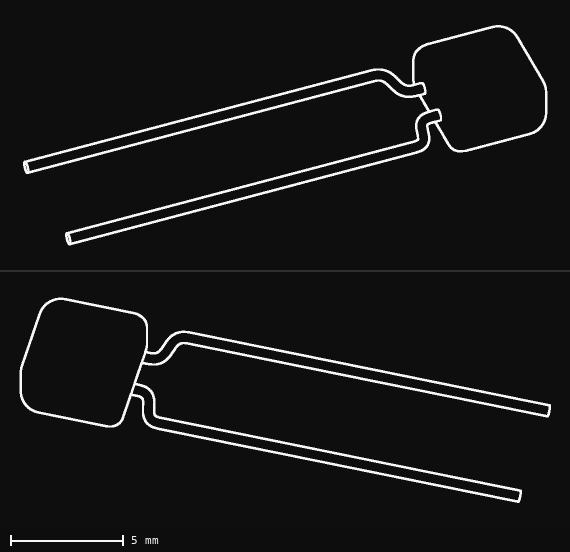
import cadquery as cq

BODY_WIDTH = 5.1
BODY_DEPTH = 4.8
BODY_HEIGHT = 3.19
BODY_ROUND = 1.0
LEAD_CORNER_ROUND = 0.49

TOTAL_LENGTH = 23.1
LEAD_DIAMETER = 0.5
LEAD_PITCH = 5.08
EXIT_PITCH = 1.9
EXIT_LENGTH = 0.4
BEND_DROP = 1.39
CONTROL_OVERLAP = 0.35


def make_body():
    """Rounded block, with tighter upright corners on the lead side."""
    block = cq.Workplane("XY").box(BODY_WIDTH, BODY_DEPTH, BODY_HEIGHT)
    block = block.translate((0, BODY_DEPTH / 2, 0))
    block = block.faces("<Y").edges("|Z").fillet(LEAD_CORNER_ROUND)
    block = block.faces(">Y").edges("|Z").fillet(BODY_ROUND)
    return block.faces("<Z or >Z").edges().fillet(BODY_ROUND)


def make_lead(side):
    """Round wire with an S-bend; side is -1 for the -X lead and +1 for the +X lead."""
    exit_x = side * EXIT_PITCH / 2
    leg_x = side * LEAD_PITCH / 2
    bend_start = (exit_x, -EXIT_LENGTH)
    bend_end = (leg_x, -EXIT_LENGTH - BEND_DROP)
    bend_middle_y = -EXIT_LENGTH - BEND_DROP / 2
    start_control = (exit_x, bend_middle_y - CONTROL_OVERLAP)
    end_control = (leg_x, bend_middle_y + CONTROL_OVERLAP)

    path = (
        cq.Workplane("XY")
        .moveTo(exit_x, 0)
        .lineTo(*bend_start)
        .bezier([bend_start, start_control, end_control, bend_end])
        .lineTo(leg_x, BODY_DEPTH - TOTAL_LENGTH)
    )
    section = cq.Workplane("XZ").center(exit_x, 0).circle(LEAD_DIAMETER / 2)
    return section.sweep(path)


body = make_body()
leads = [make_lead(side) for side in (-1, 1)]
result = cq.Compound.makeCompound([body.val(), *[lead.val() for lead in leads]])